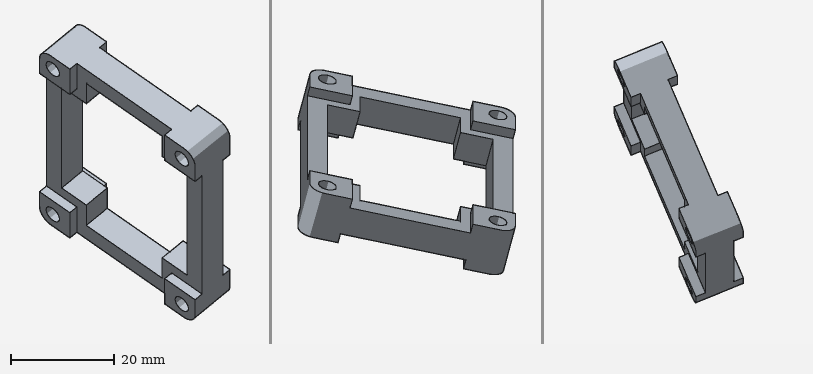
import cadquery as cq

WIDTH = 41.0
DEPTH = 10.0
HEIGHT = 50.0

WALL = 4.0
FRAME_DEPTH = 6.0

BLOCK_SIZE = (10.5, 10.0)
FRONT_PAD_SIZE = (8.0, 7.5)
BACK_PAD_SIZE = (8.5, 8.0)
PAD_DEPTH = (DEPTH - FRAME_DEPTH) / 2

CORNER_RADIUS = 3.0
HOLE_DIAMETER = 3.5
HOLE_INSET = 3.5

CORNER_SIGNS = [(-1, -1), (-1, 1), (1, -1), (1, 1)]


def box(size_x, size_z, front_y, depth, center=(0, 0)):
    """Box with its front face at front_y, centred on the given X and Z."""
    return cq.Workplane("XY").box(size_x, depth, size_z).translate(
        (center[0], front_y + depth / 2, center[1])
    )


def corner_boxes(size, front_y, depth):
    """Four equal boxes, one flush with each outer corner."""
    size_x, size_z = size
    boxes = cq.Workplane("XY")
    for sign_x, sign_z in CORNER_SIGNS:
        center = (sign_x * (WIDTH - size_x) / 2, sign_z * (HEIGHT - size_z) / 2)
        boxes = boxes.add(box(size_x, size_z, front_y, depth, center))
    return boxes.combine()


def frame():
    """Open rectangular frame of constant wall thickness."""
    outer = box(WIDTH, HEIGHT, PAD_DEPTH, FRAME_DEPTH)
    opening = box(WIDTH - 2 * WALL, HEIGHT - 2 * WALL, PAD_DEPTH, FRAME_DEPTH)
    return outer.cut(opening)


def rounded_envelope():
    """Outer outline with rounded corners, over the full depth."""
    return box(WIDTH, HEIGHT, 0, DEPTH).edges("|Y").fillet(CORNER_RADIUS)


def screw_holes():
    """Through holes, one in each corner."""
    hole_x = WIDTH / 2 - HOLE_INSET
    hole_z = HEIGHT / 2 - HOLE_INSET
    centers = [(sign_x * hole_x, sign_z * hole_z) for sign_x, sign_z in CORNER_SIGNS]
    return cq.Workplane("XZ").pushPoints(centers).circle(HOLE_DIAMETER / 2).extrude(-DEPTH)


result = (
    frame()
    .union(corner_boxes(BLOCK_SIZE, PAD_DEPTH, FRAME_DEPTH))
    .union(corner_boxes(FRONT_PAD_SIZE, 0, PAD_DEPTH))
    .union(corner_boxes(BACK_PAD_SIZE, DEPTH - PAD_DEPTH, PAD_DEPTH))
    .intersect(rounded_envelope())
    .cut(screw_holes())
)